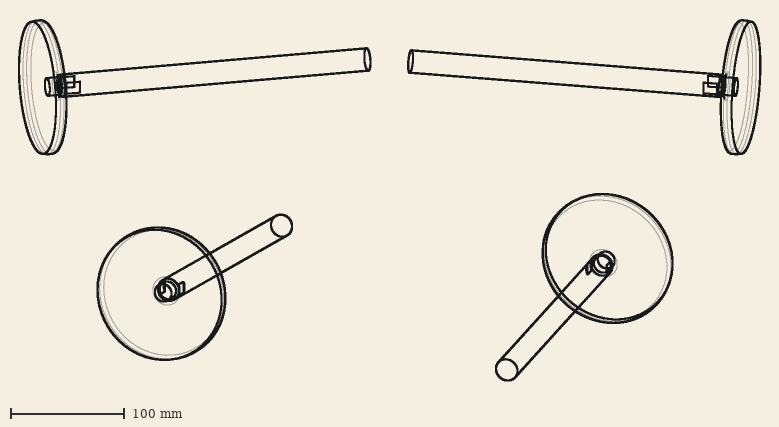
import cadquery as cq
import math

TOTAL_LENGTH = 302.0
FOOT_DIAMETER = 118.0
STUD_DIAMETER = 20.0

RIM_BAND_HEIGHT = 4.0
RIM_STEP_HEIGHT = 7.2
RIM_TAPER = 0.5
SHOULDER_HEIGHT = 10.3
SHOULDER_INSET = 2.7
CONE_TOP_HEIGHT = 17.2
CONE_TOP_RADIUS = 12.7
COLLAR_HEIGHT = 20.2

NECK_DIAMETER = 15.7
SOCKET_FLOOR = 9.0

FLAT_START = 24.0
FLAT_LENGTH = 12.5
ACROSS_FLATS = 17.2

foot_radius = FOOT_DIAMETER / 2
stud_radius = STUD_DIAMETER / 2
neck_radius = NECK_DIAMETER / 2
chamfer_end = COLLAR_HEIGHT + stud_radius - neck_radius


def revolve_about_y(profile):
    """Close a half profile in the XY plane and spin it around the Y axis."""
    return profile.close().revolve(360, (0, 0, 0), (0, 1, 0))


def make_foot():
    """Disc with a rounded rim, conical top, concave collar and blind socket for the stud."""
    underside_radius = foot_radius - RIM_TAPER
    shoulder_radius = foot_radius - SHOULDER_INSET
    cone_slope = (CONE_TOP_HEIGHT - SHOULDER_HEIGHT) / (shoulder_radius - CONE_TOP_RADIUS)
    cone_length = math.hypot(1, cone_slope)
    cone_direction = (-1 / cone_length, cone_slope / cone_length)
    profile = (
        cq.Workplane("XY")
        .lineTo(underside_radius, 0)
        .lineTo(foot_radius, RIM_BAND_HEIGHT)
        .lineTo(foot_radius, RIM_STEP_HEIGHT)
        .spline(
            [(shoulder_radius, SHOULDER_HEIGHT)],
            tangents=[(0, 1), cone_direction],
            includeCurrent=True,
        )
        .lineTo(CONE_TOP_RADIUS, CONE_TOP_HEIGHT)
        .spline(
            [(neck_radius, COLLAR_HEIGHT)],
            tangents=[cone_direction, (-1, 1)],
            includeCurrent=True,
        )
        .lineTo(neck_radius, SOCKET_FLOOR)
        .lineTo(0, SOCKET_FLOOR)
    )
    return revolve_about_y(profile)


def make_stud():
    """Round rod with a chamfered lower end, a neck and two wrench flats."""
    profile = (
        cq.Workplane("XY")
        .moveTo(0, SOCKET_FLOOR)
        .lineTo(neck_radius, SOCKET_FLOOR)
        .lineTo(neck_radius, COLLAR_HEIGHT)
        .lineTo(stud_radius, chamfer_end)
        .lineTo(stud_radius, TOTAL_LENGTH)
        .lineTo(0, TOTAL_LENGTH)
    )
    stud = revolve_about_y(profile)
    for side in (-1, 1):
        flat_cutter = cq.Workplane("XY").box(
            STUD_DIAMETER, FLAT_LENGTH, STUD_DIAMETER, centered=(True, False, True)
        )
        offset = side * (ACROSS_FLATS + STUD_DIAMETER) / 2
        stud = stud.cut(flat_cutter.translate((offset, FLAT_START, 0)))
    return stud


foot = make_foot()
stud = make_stud()

result = cq.Compound.makeCompound([foot.val(), stud.val()])